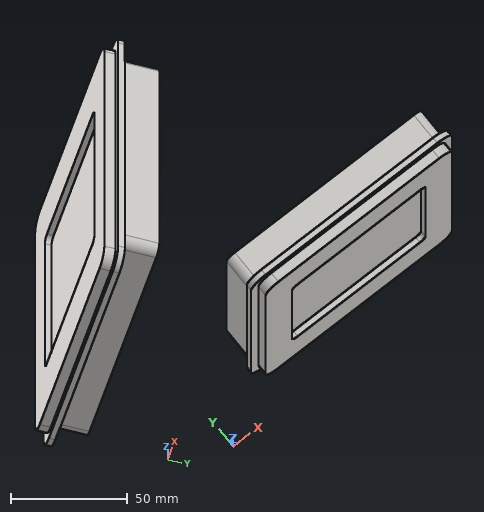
import cadquery as cq

flange_width = 110.0
flange_height = 160.0
flange_thickness = 3.0
flange_corner_radius = 8.0

panel_inset = 4.0
panel_width = flange_width - 2 * panel_inset
panel_height = flange_height - 2 * panel_inset
panel_thickness = 5.0
panel_corner_radius = 7.0

recess_width = 73.0
recess_height = 91.5
recess_depth = 3.0
recess_corner_radius = 3.0

housing_width = 107.0
housing_height = 131.0
housing_depth = 16.0
housing_corner_radius = 4.5

panel_front_y = 0.0
flange_front_y = panel_front_y + panel_thickness
housing_front_y = flange_front_y + flange_thickness


def rounded_plate(width, height, thickness, corner_radius, front_y):
    """Upright plate centred on X and Z, reaching from front_y toward +Y, with rounded corners."""
    return (
        cq.Workplane("XY")
        .box(width, thickness, height, centered=(True, False, True))
        .edges("|Y")
        .fillet(corner_radius)
        .translate((0, front_y, 0))
    )


def make_front_panel():
    """Front panel with a shallow display recess in its front face."""
    panel = rounded_plate(panel_width, panel_height, panel_thickness, panel_corner_radius, panel_front_y)
    recess = rounded_plate(recess_width, recess_height, recess_depth, recess_corner_radius, panel_front_y)
    return panel.cut(recess)


def make_flange():
    """Flat mounting flange between the front panel and the housing."""
    return rounded_plate(
        flange_width, flange_height, flange_thickness, flange_corner_radius, flange_front_y
    )


def make_housing():
    """Plain rear box behind the flange."""
    return rounded_plate(
        housing_width, housing_height, housing_depth, housing_corner_radius, housing_front_y
    )


front_panel = make_front_panel()
flange = make_flange()
housing = make_housing()

result = cq.Compound.makeCompound([front_panel.val(), flange.val(), housing.val()])